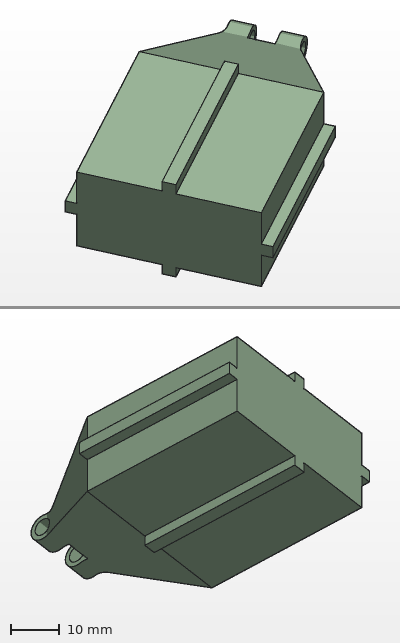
import cadquery as cq

body_width = 40.0
body_length = 40.0
body_height = 20.0

rail_width = 3.0
rail_height = 2.5

neck_length = 20.0
neck_end_width = 16.0
neck_end_height = 5.0
blend_radius = 5.0

eye_length = 5.0
hole_diameter = 4.0
slot_width = 6.0
slot_depth = 6.0

neck_end_y = body_length + neck_length
tip_y = neck_end_y + eye_length

eye_radius = (eye_length**2 + (neck_end_height / 2) ** 2) / (2 * eye_length)
eye_center_y = tip_y - eye_radius


def centered_block(width, height, start_y, end_y):
    """Block centred on the Y axis, spanning start_y to end_y."""
    length = end_y - start_y
    return cq.Workplane("XY").box(width, length, height).translate((0, start_y + length / 2, 0))


def make_body():
    """Rectangular body with a rail on each of its four long faces."""
    core = centered_block(body_width, body_height, 0, body_length)
    side_rails = centered_block(body_width + 2 * rail_height, rail_width, 0, body_length)
    top_bottom_rails = centered_block(rail_width, body_height + 2 * rail_height, 0, body_length)
    return core.union(side_rails).union(top_bottom_rails)


def blend_neck_end(prism, corner):
    """Round the two concave edges where the taper ends; corner is their (X, Z) offset."""
    x, z = corner
    nearest_edge = cq.selectors.NearestToPointSelector
    return (
        prism.edges(nearest_edge((x, neck_end_y, z)) + nearest_edge((-x, neck_end_y, -z)))
        .fillet(blend_radius)
    )


def make_side_prism():
    """Neck and eye outline in the YZ plane, extruded across the full width."""
    prism = (
        cq.Workplane("YZ")
        .moveTo(body_length, -body_height / 2)
        .lineTo(neck_end_y, -neck_end_height / 2)
        .threePointArc((tip_y, 0), (neck_end_y, neck_end_height / 2))
        .lineTo(body_length, body_height / 2)
        .close()
        .extrude(body_width / 2, both=True)
    )
    return blend_neck_end(prism, (0, neck_end_height / 2))


def make_plan_prism():
    """Neck and lug outline in the XY plane, extruded through the full height."""
    prism = (
        cq.Workplane("XY")
        .moveTo(-body_width / 2, body_length)
        .lineTo(body_width / 2, body_length)
        .lineTo(neck_end_width / 2, neck_end_y)
        .lineTo(neck_end_width / 2, tip_y)
        .lineTo(-neck_end_width / 2, tip_y)
        .lineTo(-neck_end_width / 2, neck_end_y)
        .close()
        .extrude(body_height / 2, both=True)
    )
    return blend_neck_end(prism, (neck_end_width / 2, 0))


def make_pin_hole_cutter():
    """Cylinder along X through both lugs."""
    return (
        cq.Workplane("YZ")
        .center(eye_center_y, 0)
        .circle(hole_diameter / 2)
        .extrude(body_width / 2, both=True)
    )


def make_neck():
    """Tapered neck ending in two drilled hinge lugs."""
    slot = centered_block(slot_width, body_height, tip_y - slot_depth, tip_y)
    solid_neck = make_side_prism().intersect(make_plan_prism())
    return solid_neck.cut(slot).cut(make_pin_hole_cutter())


result = make_body().union(make_neck())